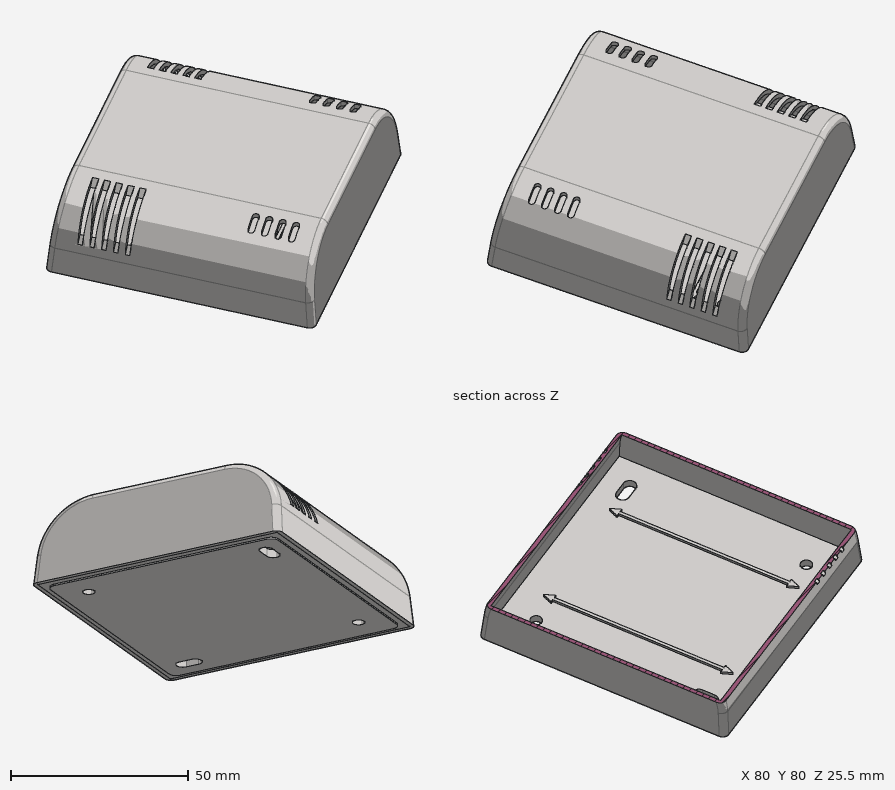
import cadquery as cq
import math

LENGTH = 80.0
TOTAL_HEIGHT = 25.5
FOOT_HEIGHT = 0.5
DRAFT = 5.0

SHOULDER_RADIUS = 18.0
WALL = 1.4
EDGE_FILLET = 2.0

LONG_VENT_COUNT = 5
LONG_VENT_PITCH = 3.5
LONG_VENT_CENTER_X = -22.9
LONG_VENT_TOP_WIDTH = 1.8
LONG_VENT_LOW_WIDTH = 1.3
LONG_VENT_FLARE = 3.0
LONG_VENT_TILT = 46.8
LONG_VENT_HALF_ANGLE = 32.5

SHORT_VENT_COUNT = 4
SHORT_VENT_PITCH = 4.0
SHORT_VENT_CENTER_X = 24.0
SHORT_VENT_CENTER_Y = 27.8
SHORT_VENT_LENGTH = 5.9
SHORT_VENT_WIDTH = 2.0

BASE_THICKNESS = 2.0
FOOT_LENGTH = 73.4
FOOT_CORNER_RADIUS = 2.4
SCREW_HOLE_DIAMETER = 3.5
SCREW_POSITION = 28.0
MOUNT_SLOT_LENGTH = 8.0
MOUNT_SLOT_WIDTH = 4.0
MOUNT_SLOT_OFFSET = 30.3

RIB_X = 19.0
RIB_WIDTH = 1.0
RIB_HEIGHT = 0.8
ARROW_WIDTH = 2.8
ARROW_START_Y = 27.4
ARROW_TIP_Y = 30.7

DRAFT_ANGLE = math.radians(DRAFT)
RIM_Z = FOOT_HEIGHT
HALF_LENGTH = LENGTH / 2
SHOULDER_Z = TOTAL_HEIGHT - SHOULDER_RADIUS
TANGENT_Z = SHOULDER_Z + SHOULDER_RADIUS * math.sin(DRAFT_ANGLE)
TANGENT_Y = HALF_LENGTH - (TANGENT_Z - RIM_Z) * math.tan(DRAFT_ANGLE)
SHOULDER_Y = TANGENT_Y - SHOULDER_RADIUS * math.cos(DRAFT_ANGLE)
BASE_TOP_Z = FOOT_HEIGHT + BASE_THICKNESS


def domed_block(inset):
    """Solid under the housing surface, moved inward by `inset` on every wall and the top."""
    radius = SHOULDER_RADIUS - inset
    top_z = TOTAL_HEIGHT - inset
    rim_half = HALF_LENGTH - inset / math.cos(DRAFT_ANGLE)
    top_half = rim_half - (top_z - RIM_Z) * math.tan(DRAFT_ANGLE)

    def arc_point(side, angle):
        return (
            side * (SHOULDER_Y + radius * math.cos(angle)),
            SHOULDER_Z + radius * math.sin(angle),
        )

    middle = (DRAFT_ANGLE + math.pi / 2) / 2
    profile = (
        cq.Workplane("YZ")
        .moveTo(-rim_half, RIM_Z)
        .lineTo(*arc_point(-1, DRAFT_ANGLE))
        .threePointArc(arc_point(-1, middle), (-SHOULDER_Y, top_z))
        .lineTo(SHOULDER_Y, top_z)
        .threePointArc(arc_point(1, middle), arc_point(1, DRAFT_ANGLE))
        .lineTo(rim_half, RIM_Z)
        .close()
        .extrude(HALF_LENGTH, both=True)
    )
    drafted_ends = (
        cq.Workplane("XZ")
        .polyline([(-rim_half, RIM_Z), (-top_half, top_z), (top_half, top_z), (rim_half, RIM_Z)])
        .close()
        .extrude(HALF_LENGTH, both=True)
    )
    return profile.intersect(drafted_ends)


def long_vent_cutters():
    """Flat-floored tapered cutters for the long vents, front and rear."""
    tilt = math.radians(LONG_VENT_TILT)
    half_angle = math.radians(LONG_VENT_HALF_ANGLE)
    floor_distance = SHOULDER_RADIUS * math.cos(half_angle)
    half_chord = SHOULDER_RADIUS * math.sin(half_angle)
    outward = cq.Vector(0, -math.cos(tilt), math.sin(tilt))
    floor = cq.Plane(
        origin=cq.Vector(0, -SHOULDER_Y, SHOULDER_Z) + outward * floor_distance,
        xDir=(1, 0, 0),
        normal=outward,
    )
    first_x = LONG_VENT_CENTER_X - LONG_VENT_PITCH * (LONG_VENT_COUNT - 1) / 2
    cutters = []
    for index in range(LONG_VENT_COUNT):
        x = first_x + index * LONG_VENT_PITCH
        front = (
            cq.Workplane(floor)
            .polyline([
                (x - LONG_VENT_LOW_WIDTH / 2, -half_chord),
                (x + LONG_VENT_LOW_WIDTH / 2, -half_chord),
                (x + LONG_VENT_TOP_WIDTH / 2, half_chord),
                (x - LONG_VENT_TOP_WIDTH / 2, half_chord),
            ])
            .close()
            .extrude(SHOULDER_RADIUS - floor_distance, taper=-LONG_VENT_FLARE)
        )
        cutters += [front, front.mirror("XZ")]
    return cutters


def short_vent_cutters():
    """Vertical obround cutters through the front and rear shoulders."""
    first_x = SHORT_VENT_CENTER_X - SHORT_VENT_PITCH * (SHORT_VENT_COUNT - 1) / 2
    places = [
        (first_x + index * SHORT_VENT_PITCH, side * SHORT_VENT_CENTER_Y)
        for index in range(SHORT_VENT_COUNT)
        for side in (-1, 1)
    ]
    return (
        cq.Workplane("XY", origin=(0, 0, SHOULDER_Z))
        .pushPoints(places)
        .slot2D(SHORT_VENT_LENGTH, SHORT_VENT_WIDTH, 90)
        .extrude(SHOULDER_RADIUS)
    )


def make_housing():
    outside = domed_block(0)
    end_outlines = outside.faces("<X or >X").edges("not <Z")
    shell = end_outlines.fillet(EDGE_FILLET).cut(domed_block(WALL))
    for cutter in long_vent_cutters():
        shell = shell.cut(cutter)
    return shell.cut(short_vent_cutters())


def arrow_rib(x):
    """Low rib along Y with an arrowhead at each end."""
    shaft = (
        cq.Workplane("XY", origin=(x, 0, BASE_TOP_Z))
        .rect(RIB_WIDTH, 2 * ARROW_START_Y)
        .extrude(RIB_HEIGHT)
    )
    rear_head = (
        cq.Workplane("XY", origin=(x, 0, BASE_TOP_Z))
        .polyline([
            (-ARROW_WIDTH / 2, ARROW_START_Y),
            (ARROW_WIDTH / 2, ARROW_START_Y),
            (0, ARROW_TIP_Y),
        ])
        .close()
        .extrude(RIB_HEIGHT)
    )
    return shaft.union(rear_head).union(rear_head.mirror("XZ"))


def mounting_cutter():
    """Two round holes and two crossed slots, one at each corner of the base."""
    underside = cq.Workplane("XY")
    holes = (
        underside.pushPoints([(-SCREW_POSITION, SCREW_POSITION), (SCREW_POSITION, -SCREW_POSITION)])
        .circle(SCREW_HOLE_DIAMETER / 2)
        .extrude(BASE_TOP_Z)
    )
    slot_along_x = (
        underside.center(-SCREW_POSITION, -MOUNT_SLOT_OFFSET)
        .slot2D(MOUNT_SLOT_LENGTH, MOUNT_SLOT_WIDTH)
        .extrude(BASE_TOP_Z)
    )
    slot_along_y = (
        underside.center(MOUNT_SLOT_OFFSET, SCREW_POSITION)
        .slot2D(MOUNT_SLOT_LENGTH, MOUNT_SLOT_WIDTH, 90)
        .extrude(BASE_TOP_Z)
    )
    return holes.union(slot_along_x).union(slot_along_y)


def make_base():
    mouth_slab = (
        cq.Workplane("XY", origin=(0, 0, RIM_Z))
        .rect(LENGTH, LENGTH)
        .extrude(BASE_THICKNESS)
    )
    plate = domed_block(WALL).intersect(mouth_slab)
    foot = (
        cq.Workplane("XY")
        .rect(FOOT_LENGTH, FOOT_LENGTH)
        .extrude(FOOT_HEIGHT)
        .edges("|Z")
        .fillet(FOOT_CORNER_RADIUS)
    )
    base = plate.union(foot)
    for side in (-1, 1):
        base = base.union(arrow_rib(side * RIB_X))
    return base.cut(mounting_cutter())


housing = make_housing()
base = make_base()

result = cq.Compound.makeCompound([housing.val(), base.val()])